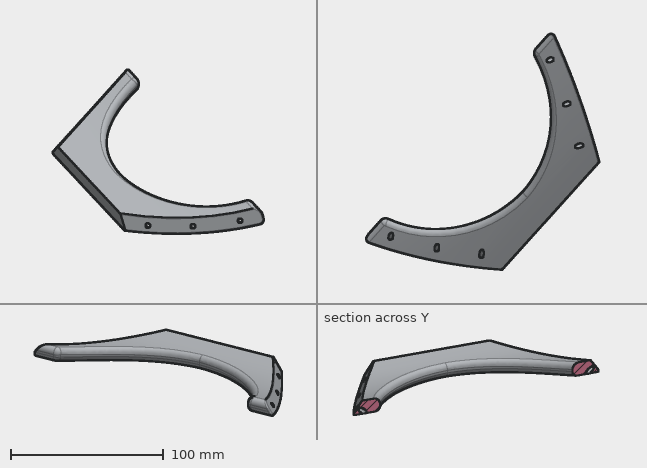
import cadquery as cq
import math

depth = 80.0
bottom_radius = 227.0
bottom_low_y = 20.3
bottom_low_z = 0.0
top_radius = 195.0
top_low_y = 23.6
top_low_z = 9.5

foot_half_width = 50.6
side_flare = 0.64
side_lean = 0.74

cutout_radius = 80.7
cutout_bottom_y = 23.8
cutout_half_width = 74.8

arm_corner_radius = 4.1
rim_radius = 4.0
side_edge_radius = 1.0

hole_diameter = 3.0
hole_centers_yz = [(13.3, 4.9), (38.5, 5.5), (65.8, 9.5)]

blank_half_width = 131.3
end_margin = 1.9
front_margin = 1.9
cut_reach = 187.5
hole_length = 56.3
hole_lead = 3.8


def side_x(y, z):
    """Distance of the right side face from the middle plane."""
    return foot_half_width + side_flare * y - side_lean * z


def bottom_point(y):
    sag = bottom_radius - math.sqrt(bottom_radius**2 - (y - bottom_low_y) ** 2)
    return (y, bottom_low_z + sag)


def top_point(y):
    sag = top_radius - math.sqrt(top_radius**2 - (y - top_low_y) ** 2)
    return (y, top_low_z + sag)


def curved_plate():
    middle_y = depth / 2
    return (
        cq.Workplane("YZ", origin=(-blank_half_width, 0, 0))
        .moveTo(*bottom_point(0))
        .threePointArc(bottom_point(middle_y), bottom_point(depth))
        .lineTo(*top_point(depth))
        .threePointArc(top_point(middle_y), top_point(0))
        .close()
        .extrude(2 * blank_half_width)
    )


def cutout():
    """Two equal arcs meeting in a slight point on the middle plane."""
    return (
        cq.Workplane("XY", origin=(0, 0, -cut_reach / 2))
        .moveTo(-cutout_half_width, depth)
        .radiusArc((0, cutout_bottom_y), -cutout_radius)
        .radiusArc((cutout_half_width, depth), -cutout_radius)
        .close()
        .extrude(cut_reach)
    )


def side_plane(side, y, z):
    """Plane on a side face with its normal pointing outward; side is +1 or -1."""
    return cq.Plane(
        origin=(side * side_x(y, z), y, z),
        xDir=(side * side_flare, 1, 0),
        normal=(side, -side_flare, side_lean),
    )


def hole(side, y, z):
    return (
        cq.Workplane(side_plane(side, y, z))
        .workplane(offset=hole_lead)
        .circle(hole_diameter / 2)
        .extrude(-hole_length)
    )


body = curved_plate().cut(cutout())

behind_front = cq.selectors.BoxSelector(
    (-blank_half_width + end_margin, front_margin, -cut_reach),
    (blank_half_width - end_margin, cut_reach, cut_reach),
)
body = body.edges("|Z").edges(">Y").fillet(arm_corner_radius)
body = body.edges(behind_front).edges("not |Z").fillet(rim_radius)

for side in (1, -1):
    outside = cq.Workplane(side_plane(side, 0, 0)).rect(2 * cut_reach, 2 * cut_reach).extrude(cut_reach)
    body = body.cut(outside)

for side in (1, -1):
    side_face = body.faces(cq.selectors.ParallelDirSelector(side_plane(side, 0, 0).zDir))
    body = side_face.edges(behind_front).fillet(side_edge_radius)

for side in (1, -1):
    for y, z in hole_centers_yz:
        body = body.cut(hole(side, y, z))

result = body